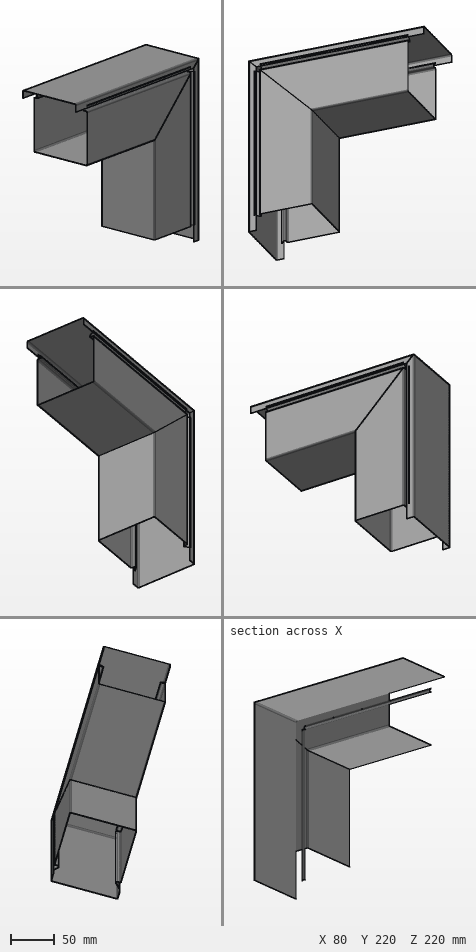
import cadquery as cq
import math


WIDTH = 80.0
LEG_LENGTH = 220.0
DUCT_DEPTH = WIDTH
DUCT_SETBACK = 20.0

SHEET = 0.9
FOLD_OUTER = 1.65
FOLD_INNER = FOLD_OUTER - SHEET

FLANGE_DEPTH = 10.0
FLANGE_SLIT = 0.07

SHELF_DEPTH = 13.6
LIP_REACH = 6.4
NOSE_CORNER_RATIO = 1 + math.sqrt(2)

HALF_WIDTH = WIDTH / 2
DUCT_LENGTH = LEG_LENGTH - DUCT_SETBACK
SHELF_INSIDE = SHELF_DEPTH + SHEET
MITRE_ANGLE = 45
FAR = 2 * LEG_LENGTH


def corner_block(inset, fold_radius):
    """Rounded block filling both legs, with its outer faces moved in by the inset."""
    def rounded(edges):
        return (
            cq.Workplane("XY")
            .box(WIDTH - 2 * inset, LEG_LENGTH, LEG_LENGTH)
            .edges(edges)
            .fillet(fold_radius)
            .translate((0, -LEG_LENGTH / 2 - inset, -LEG_LENGTH / 2 - inset))
        )

    return rounded("|X and >Y and >Z").intersect(rounded("|Y and >Z")).intersect(rounded("|Z and >Y"))


def make_cover():
    """Bent cover sheet with a side flange on each edge of both legs."""
    shell = corner_block(0, FOLD_OUTER).cut(corner_block(SHEET, FOLD_INNER))
    beyond_flanges = cq.Workplane("XY").box(WIDTH, FAR, FAR).translate(
        (0, -FAR / 2 - FLANGE_DEPTH, -FAR / 2 - FLANGE_DEPTH)
    )
    cover = shell.cut(beyond_flanges)

    slit = (
        cq.Workplane("XY")
        .box(2 * FOLD_OUTER, FAR, FLANGE_SLIT)
        .rotate((0, 0, 0), (1, 0, 0), MITRE_ANGLE)
    )
    for side in (-1, 1):
        cover = cover.cut(slit.translate((side * HALF_WIDTH, 0, 0)))
    return cover


def make_half_profile():
    """Half of the duct section (X > 0) extruded along -Y, with all its folds rounded."""
    nose_centre = HALF_WIDTH - LIP_REACH + FOLD_OUTER
    nose_outside = (nose_centre - FOLD_OUTER * NOSE_CORNER_RATIO, -SHELF_INSIDE)
    nose_inside = (nose_centre - FOLD_INNER * NOSE_CORNER_RATIO, -SHELF_DEPTH)

    wall_inside = HALF_WIDTH - SHEET
    shelf_outside = (HALF_WIDTH, -SHELF_DEPTH)
    shelf_inside = (wall_inside, -SHELF_INSIDE)
    floor_outside = (HALF_WIDTH, -DUCT_DEPTH)
    floor_inside = (wall_inside, -DUCT_DEPTH + SHEET)

    def lip_end(nose):
        return (wall_inside, nose[1] + wall_inside - nose[0])

    profile = (
        cq.Workplane("XZ")
        .polyline([
            (0, -DUCT_DEPTH),
            floor_outside,
            shelf_outside,
            nose_inside,
            lip_end(nose_inside),
            lip_end(nose_outside),
            nose_outside,
            shelf_inside,
            floor_inside,
            (0, -DUCT_DEPTH + SHEET),
        ])
        .close()
        .extrude(DUCT_LENGTH)
    )
    folds = (
        (FOLD_OUTER, (floor_outside, shelf_outside, nose_outside)),
        (FOLD_INNER, (floor_inside, shelf_inside, nose_inside)),
    )
    for radius, corners in folds:
        for x, z in corners:
            fold_edge = cq.selectors.NearestToPointSelector((x, -DUCT_LENGTH / 2, z))
            profile = profile.edges("|Y").edges(fold_edge).fillet(radius)
    return profile


def make_horizontal_duct():
    """Duct leg along -Y, mitred at the elbow, with its lips cut short of the corner."""
    half = make_half_profile()
    duct = half.union(half.mirror("YZ"))
    past_mitre = (
        cq.Workplane("YZ")
        .polyline([(0, 0), (-FAR, -FAR), (0, -FAR)])
        .close()
        .extrude(WIDTH, both=True)
    )
    lip_corner = cq.Workplane("XY").box(WIDTH, SHELF_INSIDE, SHELF_INSIDE).translate(
        (0, -SHELF_INSIDE / 2, -SHELF_INSIDE / 2)
    )
    return duct.cut(past_mitre).cut(lip_corner)


def make_vertical_duct(horizontal):
    """Duct leg along -Z: the other leg mirrored in the mitre plane."""
    return horizontal.rotate((0, 0, 0), (0, 1, 1), 180)


cover = make_cover()
horizontal_duct = make_horizontal_duct()
vertical_duct = make_vertical_duct(horizontal_duct)

result = cq.Compound.makeCompound([
    cover.solids().val(),
    horizontal_duct.solids().val(),
    vertical_duct.solids().val(),
])